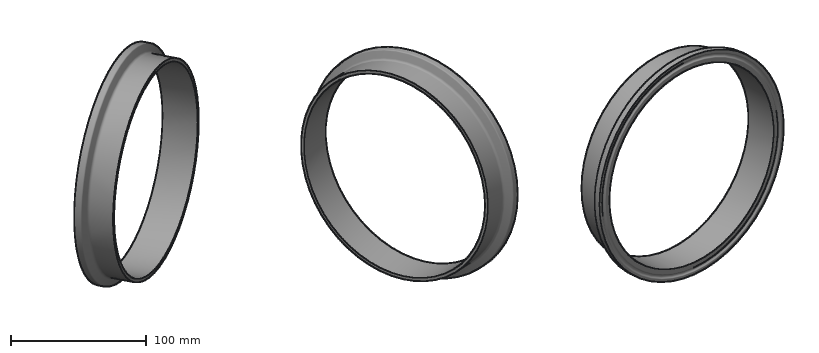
import cadquery as cq
import math

length = 28.0
flange_radius = 91.5
tube_radius = 84.2
bore_radius = 81.5

rim_width = 5.0
back_angle = math.radians(20)
rim_fillet = 1.1
root_fillet = 2.2

groove_center_radius = 87.2
groove_round = 1.6
lip_round = 1.0
groove_width = 4.2


def arc_point(center, radius, angle):
    """Point on a circle, with the angle in radians measured from +X."""
    return (center[0] + radius * math.cos(angle), center[1] + radius * math.sin(angle))


def ring_body():
    """Revolve the tube and flange section, given as (X, radius) points."""
    turn = math.pi / 2 - back_angle
    rim_center = (rim_width, flange_radius - rim_fillet)
    rim_end = arc_point(rim_center, rim_fillet, back_angle)

    root_center_radius = tube_radius + root_fillet
    root_start_radius = root_center_radius - root_fillet * math.sin(back_angle)
    root_start_x = rim_end[0] + (rim_end[1] - root_start_radius) / math.tan(turn)
    root_center = (root_start_x + root_fillet * math.cos(back_angle), root_center_radius)

    section = (
        cq.Workplane("XY")
        .moveTo(0, bore_radius)
        .lineTo(0, flange_radius)
        .lineTo(rim_width, flange_radius)
        .threePointArc(arc_point(rim_center, rim_fillet, back_angle + turn / 2), rim_end)
        .lineTo(root_start_x, root_start_radius)
        .threePointArc(
            arc_point(root_center, root_fillet, math.pi + back_angle + turn / 2),
            (root_center[0], tube_radius),
        )
        .lineTo(length, tube_radius)
        .lineTo(length, bore_radius)
        .close()
    )
    return section.revolve(360, (0, 0, 0), (1, 0, 0))


def gasket_groove():
    """Revolve the groove section; its lips are tangent to the face and the bottom arc."""
    half_width = groove_width / 2
    wall_angle = math.asin(half_width / (groove_round + lip_round))
    bottom_center = (
        lip_round - (groove_round + lip_round) * math.cos(wall_angle),
        groove_center_radius,
    )
    outer_lip_center = (lip_round, groove_center_radius + half_width)
    inner_lip_center = (lip_round, groove_center_radius - half_width)

    section = (
        cq.Workplane("XY")
        .moveTo(0, inner_lip_center[1])
        .threePointArc(
            arc_point(inner_lip_center, lip_round, math.pi - wall_angle / 2),
            arc_point(inner_lip_center, lip_round, math.pi - wall_angle),
        )
        .threePointArc(
            arc_point(bottom_center, groove_round, 0),
            arc_point(bottom_center, groove_round, wall_angle),
        )
        .threePointArc(
            arc_point(outer_lip_center, lip_round, math.pi + wall_angle / 2),
            (0, outer_lip_center[1]),
        )
        .close()
    )
    return section.revolve(360, (0, 0, 0), (1, 0, 0))


result = ring_body().cut(gasket_groove())